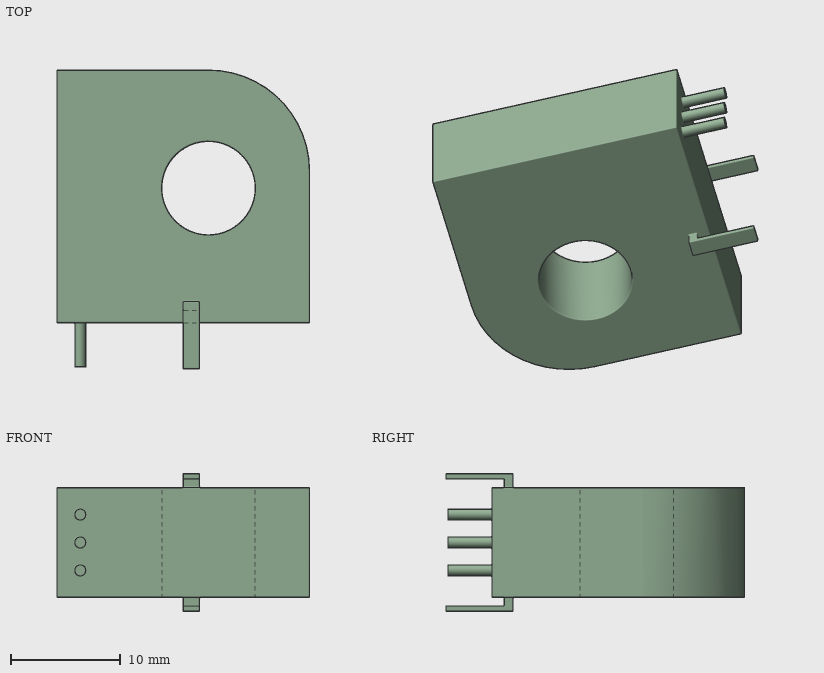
import cadquery as cq

BODY_SIZE = 23.0
BODY_HEIGHT = 10.0
CORNER_RADIUS = 9.2
TOP_Z = BODY_HEIGHT / 2

EDGE_ROUND = 0.1

BORE_DIAMETER = 8.5
BORE_X = 13.8
BORE_Y = 12.25

PIN_DIAMETER = 1.0
PIN_LENGTH = 4.0
PIN_X = 2.13
PIN_PITCH = 2.54
PIN_COUNT = 3

TAB_X = 12.23
TAB_WIDTH = 1.5
TAB_RISE = 1.27
TAB_REACH = 4.2
TAB_BACK_Y = 1.92
TAB_THICKNESS = 0.5
TAB_FOOT_DEPTH = 0.8
TAB_BEND_RADIUS = 0.1

EDGE_TOLERANCE = 0.01


def make_body():
    block = cq.Workplane("XY").box(BODY_SIZE, BODY_SIZE, BODY_HEIGHT, centered=(False, False, True))
    block = block.edges("|Z and >X and >Y").fillet(CORNER_RADIUS)
    bore = (
        cq.Workplane("XY", origin=(BORE_X, BORE_Y, -TOP_Z))
        .circle(BORE_DIAMETER / 2)
        .extrude(BODY_HEIGHT)
    )
    return block.cut(bore).faces("<Z or >Z or <Y or <X").edges().fillet(EDGE_ROUND)


def make_pin(z):
    """Round pin along -Y, standing on the Y = 0 face at height z."""
    return (
        cq.Workplane("XZ", origin=(PIN_X, 0, z))
        .circle(PIN_DIAMETER / 2)
        .extrude(PIN_LENGTH)
    )


def make_top_tab():
    """L-shaped tab: a foot standing on the top face and a blade reaching toward -Y."""
    tab_top = TOP_Z + TAB_RISE
    foot_front_y = TAB_BACK_Y - TAB_FOOT_DEPTH
    blade_bottom = tab_top - TAB_THICKNESS
    tab = (
        cq.Workplane("YZ", origin=(TAB_X, 0, 0))
        .moveTo(TAB_BACK_Y, TOP_Z)
        .lineTo(TAB_BACK_Y, tab_top)
        .lineTo(-TAB_REACH, tab_top)
        .lineTo(-TAB_REACH, blade_bottom)
        .lineTo(foot_front_y - TAB_BEND_RADIUS, blade_bottom)
        .radiusArc((foot_front_y, blade_bottom - TAB_BEND_RADIUS), TAB_BEND_RADIUS)
        .lineTo(foot_front_y, TOP_Z)
        .close()
        .extrude(TAB_WIDTH / 2, both=True)
    )
    rounded_faces = "<X or >X or <Y or >Y"
    return tab.faces(rounded_faces).edges("not <Z").fillet(EDGE_ROUND)


def junction_edges(part):
    """Edges where the pins and tab feet meet the flat body faces."""
    edges = part.edges(
        cq.selectors.BoxSelector(
            (PIN_X - PIN_DIAMETER, -EDGE_TOLERANCE, -TOP_Z + EDGE_ROUND),
            (PIN_X + PIN_DIAMETER, EDGE_TOLERANCE, TOP_Z - EDGE_ROUND),
            boundingbox=True,
        )
    )
    for face_z in (TOP_Z, -TOP_Z):
        foot_edges = part.edges(
            cq.selectors.BoxSelector(
                (TAB_X - TAB_WIDTH, EDGE_ROUND + EDGE_TOLERANCE, face_z - EDGE_TOLERANCE),
                (TAB_X + TAB_WIDTH, TAB_BACK_Y + TAB_FOOT_DEPTH, face_z + EDGE_TOLERANCE),
                boundingbox=True,
            )
        )
        edges = edges.add(foot_edges)
    return edges


result = make_body()

for index in range(PIN_COUNT):
    pin_z = (index - (PIN_COUNT - 1) / 2) * PIN_PITCH
    result = result.union(make_pin(pin_z))

top_tab = make_top_tab()
result = result.union(top_tab).union(top_tab.mirror("XY"))
result = junction_edges(result).fillet(EDGE_ROUND)